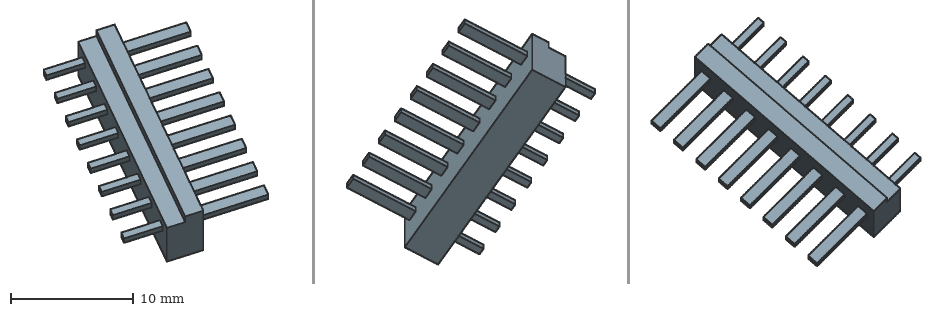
import cadquery as cq

pin_count = 8
pitch = 2.5
row_length = pin_count * pitch

housing_depth = 3.2
housing_height = 5.6
ridge_depth = housing_depth / 2
ridge_height = 0.8
shoulder_height = housing_height - ridge_height

pin_thickness = 0.64
tail_width = 0.64
tail_length = 3.4
blade_width = 1.0
blade_length = 6.0
pin_height = 3.5


def make_housing():
    """Stepped profile in the YZ plane, extruded along the row."""
    profile = [
        (0, 0),
        (housing_depth, 0),
        (housing_depth, housing_height),
        (housing_depth - ridge_depth, housing_height),
        (housing_depth - ridge_depth, shoulder_height),
        (0, shoulder_height),
    ]
    return cq.Workplane("YZ").polyline(profile).close().extrude(row_length / 2, both=True)


def make_bar(x, y_start, width, length):
    """Straight bar running towards +Y from y_start, centred on the pin line."""
    bar = cq.Workplane("XY").box(width, length, pin_thickness, centered=(True, False, True))
    return bar.translate((x, y_start, pin_height))


result = make_housing()
for index in range(pin_count):
    pin_x = (index - (pin_count - 1) / 2) * pitch
    tail = make_bar(pin_x, -tail_length, tail_width, tail_length)
    blade = make_bar(pin_x, housing_depth, blade_width, blade_length)
    result = result.union(tail).union(blade)